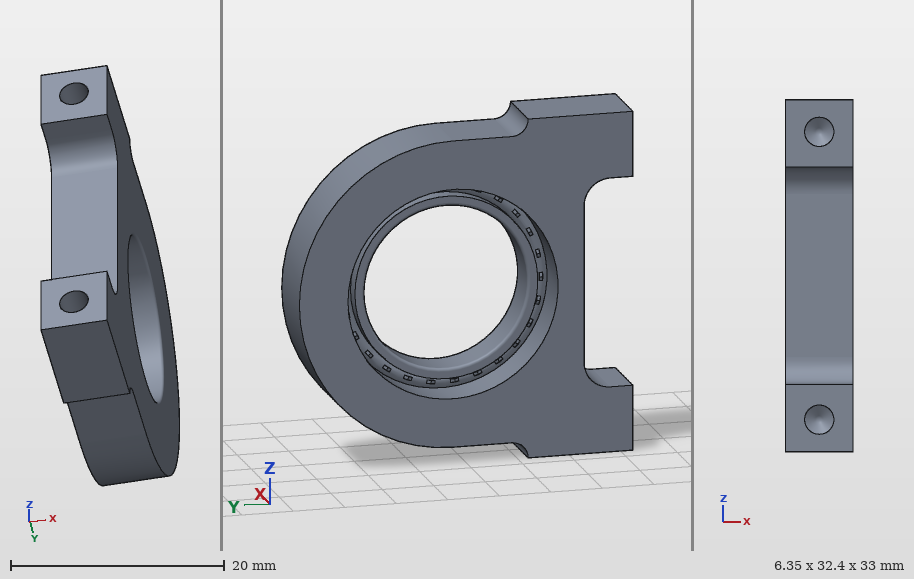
import cadquery as cq
import math

thickness = 6.35
half_height = 16.5
head_radius = 14.93
foot_y = -17.47

foot_height = thickness
step_fillet = half_height - head_radius
step_y = -7.3
notch_floor_y = -12.75
notch_half_height = half_height - foot_height
notch_fillet = 2.5

seat_radius = 10.2
seat_depth = 3.95
collar_outer_radius = 8.88
collar_depth = 2.38
bore_radius = 7.92
front_lip_fillet = 0.3
rear_lip_fillet = 0.25
crown_height = 0.25
crown_radius = (seat_radius + collar_outer_radius) / 2
crown_top_depth = seat_depth - crown_height

tooth_count = 26
tooth_length = 0.8
tooth_width = 0.33
tooth_height = 0.13
tooth_root = 0.13

hole_diameter = 2.75
hole_spacing = 26.98
hole_depth = 7.92
drill_tip_angle = 118.0


def make_plate():
    """Half-round head on a straight body with stepped-out feet."""
    return (
        cq.Workplane("YZ")
        .moveTo(0, head_radius)
        .lineTo(step_y + step_fillet, head_radius)
        .radiusArc((step_y, half_height), step_fillet)
        .lineTo(foot_y, half_height)
        .lineTo(foot_y, -half_height)
        .lineTo(step_y, -half_height)
        .radiusArc((step_y + step_fillet, -head_radius), step_fillet)
        .lineTo(0, -head_radius)
        .threePointArc((head_radius, 0), (0, head_radius))
        .close()
        .extrude(thickness)
    )


def make_notch():
    """Opening between the feet, rounded at its two inner corners."""
    notch_depth = notch_floor_y - foot_y
    return (
        cq.Workplane("YZ", origin=(0, foot_y, 0))
        .rect(2 * notch_depth, 2 * notch_half_height)
        .extrude(thickness)
        .edges("|X and >Y")
        .fillet(notch_fillet)
    )


def make_bore():
    """Seat, crowned floor, collar and through bore with rounded lips, turned about X."""
    front_lip_end = collar_depth + front_lip_fillet
    rear_lip_start = thickness - rear_lip_fillet
    return (
        cq.Workplane("XY")
        .lineTo(0, seat_radius)
        .lineTo(seat_depth, seat_radius)
        .threePointArc((crown_top_depth, crown_radius), (seat_depth, collar_outer_radius))
        .lineTo(collar_depth, collar_outer_radius)
        .lineTo(collar_depth, bore_radius + front_lip_fillet)
        .radiusArc((front_lip_end, bore_radius), -front_lip_fillet)
        .lineTo(rear_lip_start, bore_radius)
        .radiusArc((thickness, bore_radius + rear_lip_fillet), -rear_lip_fillet)
        .lineTo(thickness, 0)
        .close()
        .revolve(360, (0, 0, 0), (1, 0, 0))
    )


def make_tooth(angle):
    """Roof-shaped ridge on the crown, its ridge line radial, turned about X by angle."""
    root_depth = crown_top_depth + tooth_root
    half_length = tooth_length / 2
    return (
        cq.Workplane("XZ", origin=(0, crown_radius, 0))
        .moveTo(root_depth, -half_length)
        .lineTo(crown_top_depth, -half_length)
        .lineTo(crown_top_depth - tooth_height, 0)
        .lineTo(crown_top_depth, half_length)
        .lineTo(root_depth, half_length)
        .close()
        .extrude(tooth_width / 2, both=True)
        .rotate((0, 0, 0), (1, 0, 0), angle)
    )


def make_mounting_hole(z):
    """Blind drilled hole going up from the foot face, with a conical end."""
    radius = hole_diameter / 2
    tip_length = radius / math.tan(math.radians(drill_tip_angle / 2))
    return (
        cq.Workplane("XY", origin=(thickness / 2, foot_y, z))
        .lineTo(radius, 0)
        .lineTo(radius, hole_depth)
        .lineTo(0, hole_depth + tip_length)
        .close()
        .revolve(360, (0, 0, 0), (0, 1, 0))
    )


result = make_plate().cut(make_notch()).cut(make_bore())

for side in (-1, 1):
    result = result.cut(make_mounting_hole(side * hole_spacing / 2))

for index in range(tooth_count):
    result = result.union(make_tooth(index * 360 / tooth_count))